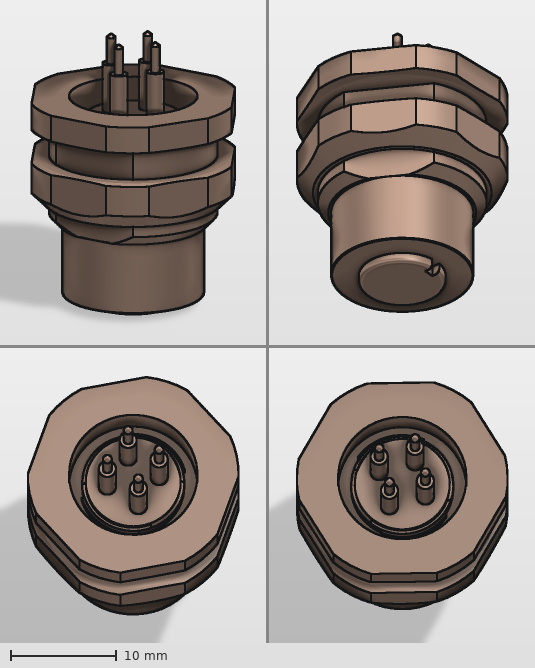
import cadquery as cq
import math

BARREL_BOTTOM = 1.03
BODY_BOTTOM = 7.98
BODY_CHAMFER_TOP = 9.05
NUT_BOTTOM = 10.2
NUT_CONE_TOP = 11.73
NUT_TOP = 14.75
FLANGE_BOTTOM = 17.85
FLANGE_TOP = 20.55
CAVITY_FLOOR = 17.45
INSERT_TOP = 18.68
SLEEVE_TOP = 23.4
PIN_TIP = 26.35

HEX_ACROSS_FLATS = 19.0
HEX_CORNER_RADIUS = 10.0
FACE_RADIUS = 9.28
NUT_FACE_RELIEF = 0.1
FLANGE_FACE_RADIUS = 8.95
FLANGE_FACE_RELIEF = 0.15
NUT_CONE_RADIUS = HEX_CORNER_RADIUS - (NUT_CONE_TOP - NUT_BOTTOM)

BODY_RADIUS = 8.0
BODY_END_RADIUS = 7.0
FLAT_SPACING = 13.45
BARREL_RADIUS = 6.75
BARREL_CHAMFER = 0.08
CAVITY_RADIUS = 6.1

INSERT_RADIUS = 4.1
INSERT_ROUNDING = 0.5
KEY_ANGLE = 152.0
KEY_WIDTH = 1.08
KEY_FLOOR_DISTANCE = 3.25

INSERT_END_RADIUS = 4.5
SHOULDER_RADIUS = 4.85
LUG_RADIUS = 5.09
SHOULDER_TOP = INSERT_TOP - (SHOULDER_RADIUS - INSERT_END_RADIUS)
LUG_BOTTOM = SHOULDER_TOP - (LUG_RADIUS - SHOULDER_RADIUS)
INNER_LUG_STARTS = (100.0, 280.0)
INNER_LUG_SWEEP = 70.0
OUTER_LUG_STARTS = (5.0, 185.0)
OUTER_LUG_SWEEP = 80.0

PIN_COUNT = 4
PIN_CIRCLE_RADIUS = 2.5
SLEEVE_RADIUS = 0.82
PIN_RADIUS = 0.42
PIN_POINT_HEIGHT = 0.37


def turned(profile, sweep=360.0, start=0.0):
    """Revolve a closed (radius, height) profile about the Z axis, beginning at angle start."""
    solid = cq.Workplane("XZ").polyline(profile).close().revolve(sweep, (0, 0, 0), (0, -1, 0))
    return solid.rotate((0, 0, 0), (0, 0, 1), start + sweep)


def cylinder(radius, bottom, top):
    return cq.Workplane("XY").workplane(offset=bottom).circle(radius).extrude(top - bottom)


def hexagon(bottom, top):
    """Hexagonal prism with two sides facing -Y and +Y."""
    corner_diameter = HEX_ACROSS_FLATS / math.cos(math.pi / 6)
    return cq.Workplane("XY").workplane(offset=bottom).polygon(6, corner_diameter).extrude(top - bottom)


def make_flange():
    envelope = turned([
        (0, FLANGE_BOTTOM),
        (FLANGE_FACE_RADIUS, FLANGE_BOTTOM),
        (HEX_CORNER_RADIUS, FLANGE_BOTTOM + FLANGE_FACE_RELIEF),
        (HEX_CORNER_RADIUS, FLANGE_TOP),
        (0, FLANGE_TOP),
    ])
    return hexagon(FLANGE_BOTTOM, FLANGE_TOP).intersect(envelope)


def make_nut():
    envelope = turned([
        (BODY_RADIUS, NUT_BOTTOM),
        (NUT_CONE_RADIUS, NUT_BOTTOM),
        (HEX_CORNER_RADIUS, NUT_CONE_TOP),
        (HEX_CORNER_RADIUS, NUT_TOP - NUT_FACE_RELIEF),
        (FACE_RADIUS, NUT_TOP),
        (BODY_RADIUS, NUT_TOP),
    ])
    return hexagon(NUT_BOTTOM, NUT_TOP).intersect(envelope)


def make_body():
    blank = turned([
        (0, BODY_BOTTOM),
        (BODY_END_RADIUS, BODY_BOTTOM),
        (BODY_RADIUS, BODY_CHAMFER_TOP),
        (BODY_RADIUS, FLANGE_TOP),
        (0, FLANGE_TOP),
    ])
    between_flats = (
        cq.Workplane("XY")
        .workplane(offset=BODY_BOTTOM)
        .rect(2 * BODY_RADIUS, FLAT_SPACING)
        .extrude(FLANGE_TOP - BODY_BOTTOM)
    )
    return blank.intersect(between_flats)


def make_barrel():
    return cylinder(BARREL_RADIUS, BARREL_BOTTOM, BODY_BOTTOM).faces("<Z").chamfer(BARREL_CHAMFER)


def make_insert_front():
    """Rounded insert nose with its radial keyway."""
    nose = cylinder(INSERT_RADIUS, 0, BARREL_BOTTOM).faces("<Z").edges().fillet(INSERT_ROUNDING)
    keyway = (
        cq.Workplane("XY")
        .center(KEY_FLOOR_DISTANCE + INSERT_RADIUS / 2, 0)
        .rect(INSERT_RADIUS, KEY_WIDTH)
        .extrude(BARREL_BOTTOM)
        .rotate((0, 0, 0), (0, 0, 1), KEY_ANGLE)
    )
    return nose.cut(keyway)


def make_insert_end():
    """Stepped insert end standing on the cavity floor, with its snap lugs."""
    end = cylinder(INSERT_END_RADIUS, CAVITY_FLOOR, INSERT_TOP)
    end = end.union(cylinder(SHOULDER_RADIUS, CAVITY_FLOOR, SHOULDER_TOP))
    inner_lug = [
        (0, CAVITY_FLOOR),
        (SHOULDER_RADIUS, CAVITY_FLOOR),
        (SHOULDER_RADIUS, SHOULDER_TOP),
        (INSERT_END_RADIUS, INSERT_TOP),
        (0, INSERT_TOP),
    ]
    outer_lug = [
        (0, CAVITY_FLOOR),
        (LUG_RADIUS, CAVITY_FLOOR),
        (LUG_RADIUS, LUG_BOTTOM),
        (SHOULDER_RADIUS, SHOULDER_TOP),
        (0, SHOULDER_TOP),
    ]
    for start in INNER_LUG_STARTS:
        end = end.union(turned(inner_lug, INNER_LUG_SWEEP, start))
    for start in OUTER_LUG_STARTS:
        end = end.union(turned(outer_lug, OUTER_LUG_SWEEP, start))
    return end


def make_pins():
    pin = turned([
        (0, CAVITY_FLOOR),
        (SLEEVE_RADIUS, CAVITY_FLOOR),
        (SLEEVE_RADIUS, SLEEVE_TOP),
        (PIN_RADIUS, SLEEVE_TOP),
        (PIN_RADIUS, PIN_TIP - PIN_POINT_HEIGHT),
        (0, PIN_TIP),
    ])
    pins = cq.Workplane("XY")
    for index in range(PIN_COUNT):
        angle = 2 * math.pi * index / PIN_COUNT
        place = (PIN_CIRCLE_RADIUS * math.cos(angle), PIN_CIRCLE_RADIUS * math.sin(angle), 0)
        pins = pins.add(pin.translate(place))
    return pins


housing = make_body().union(make_flange()).union(make_nut()).union(make_barrel())
housing = housing.cut(cylinder(CAVITY_RADIUS, CAVITY_FLOOR, FLANGE_TOP))
result = housing.union(make_insert_front()).union(make_insert_end()).union(make_pins())